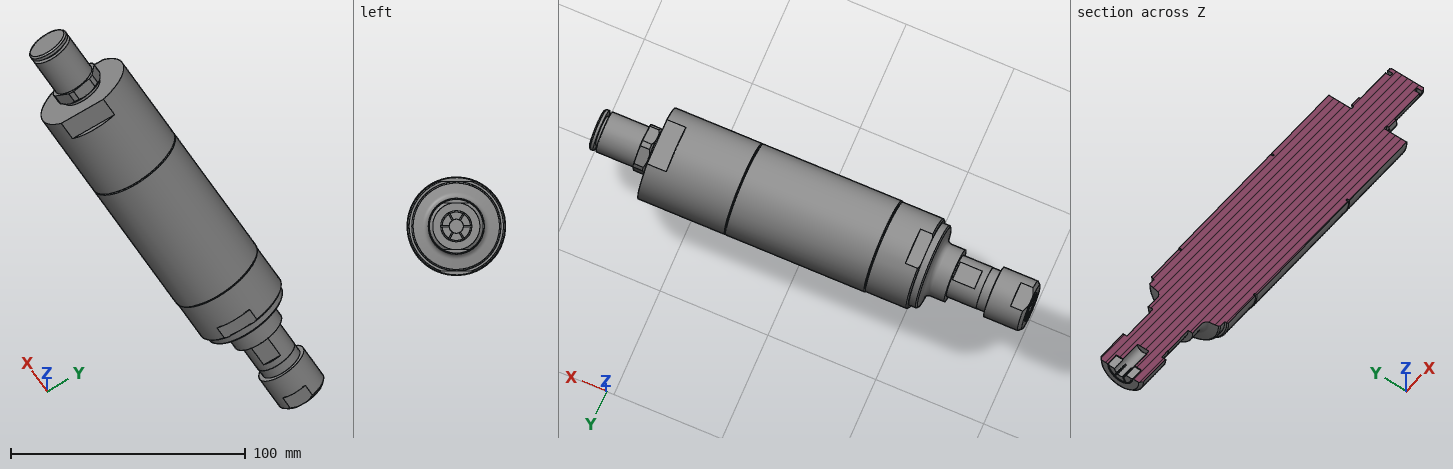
import cadquery as cq
import math


nut_dia = 23.0
nut_end = 17.0
nut_chamfer = 1.5
nut_flat_end = 7.0
nut_across_flats = 20.0

collet_dia = 13.3
collet_groove_depth = 0.6
collet_bore_dia = 6.0
collet_bore_depth = 16.0
slot_count = 6
slot_width = 0.6
slot_depth = 6.0

shaft_tip_dia = 19.0
shaft_tip_end = 21.3
shaft_dia = 19.1
shaft_end = 35.2
shaft_flat_start = 24.3
shaft_flat_end = 34.5
shaft_across_flats = 17.0
collar_dia = 24.0
collar_end = 41.2

flare_edge_dia = 28.8
flare_end = 44.2
cap_dia = 38.0
cap_start = 44.8
cap_chamfer = 0.6
cap_end = 48.5

body_dia = 42.0
body_end = 173.4
body_front_dia = 41.5
body_front_chamfer = 0.6
front_flat_end = 54.7
front_across_flats = 38.0
rear_flat_start = 164.5
rear_across_flats = 36.2
groove_dia = 39.5
groove_width = 0.6
groove_centres = (68.2, 133.0)

neck_dia = 18.0
hex_start = 175.0
hex_end = 180.2
hex_across_flats = 20.0
hex_corner_dia = 21.7
hex_chamfer = 0.8
hex_turn = 6.5
fitting_dia = 18.5
fitting_end = 197.7
release_groove_dia = 13.3
release_ring_start = 199.1
release_ring_chamfer = 0.7
total_length = 201.1


def cylinder(start, end, diameter):
    """Cylinder on the X axis between two X positions."""
    return cq.Workplane("YZ", origin=(start, 0, 0)).circle(diameter / 2).extrude(end - start)


def flat_pair(start, end, across):
    """Two blocks that mill flats facing +Z and -Z, the given distance apart."""
    block = cq.Workplane("XY").box(end - start, body_dia, body_dia, centered=(False, True, False))
    upper = block.translate((start, 0, across / 2))
    return upper.union(upper.mirror("XY"))


def collet_nut():
    nut = cylinder(0, nut_end, nut_dia).faces("<X").chamfer(nut_chamfer)
    return nut.cut(flat_pair(0, nut_flat_end, nut_across_flats))


def collet_cut():
    """Bore, radial slots and V groove around the collet face."""
    cut = cylinder(0, collet_bore_depth, collet_bore_dia)
    for i in range(slot_count):
        slot = cq.Workplane("XY").box(
            slot_depth, collet_dia / 2, slot_width, centered=(False, False, True)
        )
        cut = cut.union(slot.rotate((0, 0, 0), (1, 0, 0), i * 360 / slot_count))
    collet_r = collet_dia / 2
    v_groove = (
        cq.Workplane("XY")
        .moveTo(0, collet_r - collet_groove_depth)
        .lineTo(collet_groove_depth, collet_r)
        .lineTo(0, collet_r)
        .close()
        .revolve(360, (0, 0, 0), (1, 0, 0))
    )
    return cut.union(v_groove)


def shaft():
    spindle = cylinder(nut_end, shaft_tip_end, shaft_tip_dia)
    spindle = spindle.union(cylinder(shaft_tip_end, shaft_end, shaft_dia))
    spindle = spindle.cut(flat_pair(shaft_flat_start, shaft_flat_end, shaft_across_flats))
    return spindle.union(cylinder(shaft_end, collar_end, collar_dia))


def front_cap():
    """Concave flare blending from the collar into a shallow cone, then a chamfered rim."""
    collar_r = collar_dia / 2
    edge_r = flare_edge_dia / 2
    cap_r = cap_dia / 2
    flare_length = flare_end - collar_end
    flare_rise = edge_r - collar_r
    mid_angle = math.radians(45)
    flare_mid = (
        collar_end + flare_length * math.sin(mid_angle),
        collar_r + flare_rise * (1 - math.cos(mid_angle)),
    )
    return (
        cq.Workplane("XY")
        .moveTo(collar_end, 0)
        .lineTo(collar_end, collar_r)
        .threePointArc(flare_mid, (flare_end, edge_r))
        .lineTo(cap_start, cap_r - cap_chamfer)
        .lineTo(cap_start + cap_chamfer, cap_r)
        .lineTo(cap_end, cap_r)
        .lineTo(cap_end, 0)
        .close()
        .revolve(360, (0, 0, 0), (1, 0, 0))
    )


def main_body():
    front_end = groove_centres[0]
    front = cylinder(cap_end, front_end, body_front_dia).faces("<X").chamfer(body_front_chamfer)
    body = front.union(cylinder(front_end, body_end, body_dia))
    for centre in groove_centres:
        start = centre - groove_width / 2
        end = centre + groove_width / 2
        body = body.cut(cylinder(start, end, body_dia).cut(cylinder(start, end, groove_dia)))
    body = body.cut(flat_pair(cap_end, front_flat_end, front_across_flats))
    return body.cut(flat_pair(rear_flat_start, body_end, rear_across_flats))


def hose_fitting():
    corner_to_corner = hex_across_flats / math.cos(math.pi / 6)
    hexagon = (
        cq.Workplane("YZ", origin=(hex_start, 0, 0))
        .polygon(6, corner_to_corner)
        .extrude(hex_end - hex_start)
        .rotate((0, 0, 0), (1, 0, 0), 90 - hex_turn)
    )
    rounding = cylinder(hex_start, hex_end, hex_corner_dia).faces("<X").chamfer(hex_chamfer)
    ring = cylinder(release_ring_start, total_length, fitting_dia)
    fitting = cylinder(body_end, hex_start, neck_dia).union(hexagon.intersect(rounding))
    fitting = fitting.union(cylinder(hex_end, fitting_end, fitting_dia))
    fitting = fitting.union(cylinder(fitting_end, release_ring_start, release_groove_dia))
    return fitting.union(ring.faces(">X").chamfer(release_ring_chamfer))


result = (
    collet_nut()
    .union(shaft())
    .union(front_cap())
    .union(main_body())
    .union(hose_fitting())
    .cut(collet_cut())
)